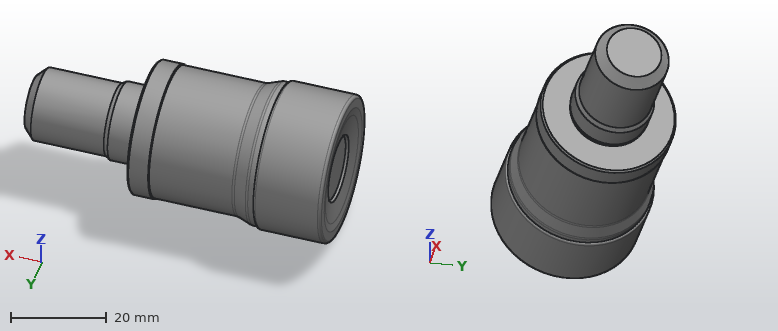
import cadquery as cq

TOTAL_LENGTH = 68.0

CAP_DIAMETER = 31.95
CAP_LENGTH = 14.8
CAP_FRONT_ROUND = 0.7
CAP_REAR_ROUND = 0.5
DISH_RIM_RADIUS = 13.3
DISH_STEP_RADIUS = 11.6
DISH_STEP_DEPTH = 0.3
DISH_FLOOR_RADIUS = 7.3
DISH_FLOOR_DEPTH = 0.95
RECESS_RADIUS = 6.9
RECESS_DEPTH = 1.55

SHOULDER_DIAMETER = 31.0
SHOULDER_END = 16.4
BARREL_DIAMETER = 28.6
BARREL_START = 19.65
SHOULDER_BLEND = 1.6
COLLAR_DIAMETER = 29.0
COLLAR_START = 38.0
COLLAR_END = 42.9
COLLAR_CHAMFER = 0.4
COLLAR_STEP_CHAMFER = (COLLAR_DIAMETER - BARREL_DIAMETER) / 2

NECK_DIAMETER = 16.6
NECK_END = 43.45
PILOT_DIAMETER = 17.0
PILOT_START = 44.05
PILOT_END = 48.95
STUD_DIAMETER = 15.8
STUD_START = 49.95
STUD_NOSE_LENGTH = 2.05
STUD_TIP_RADIUS = 5.85


def revolve_about_x(profile):
    """Turn a closed XY half-profile into a solid round the X axis."""
    return profile.close().revolve(360, (0, 0, 0), (1, 0, 0))


def make_cap():
    """Round cap with a dished front face and a flat central recess."""
    radius = CAP_DIAMETER / 2
    blank = cq.Workplane("YZ").circle(radius).extrude(CAP_LENGTH)
    blank = blank.faces("<X").edges().fillet(CAP_FRONT_ROUND)
    blank = blank.faces(">X").edges().fillet(CAP_REAR_ROUND)
    dish = revolve_about_x(
        cq.Workplane("XY")
        .moveTo(0, 0)
        .lineTo(0, DISH_RIM_RADIUS)
        .lineTo(DISH_STEP_DEPTH, DISH_STEP_RADIUS)
        .lineTo(DISH_FLOOR_DEPTH, DISH_FLOOR_RADIUS)
        .lineTo(RECESS_DEPTH, RECESS_RADIUS)
        .lineTo(RECESS_DEPTH, 0)
    )
    return blank.cut(dish)


def make_barrel():
    """Housing barrel: shoulder, eased taper, cylinder and rear collar."""
    barrel = revolve_about_x(
        cq.Workplane("XY")
        .moveTo(CAP_LENGTH, 0)
        .lineTo(CAP_LENGTH, SHOULDER_DIAMETER / 2)
        .lineTo(SHOULDER_END, SHOULDER_DIAMETER / 2)
        .lineTo(BARREL_START, BARREL_DIAMETER / 2)
        .lineTo(COLLAR_START, BARREL_DIAMETER / 2)
        .lineTo(COLLAR_START + COLLAR_STEP_CHAMFER, COLLAR_DIAMETER / 2)
        .lineTo(COLLAR_END, COLLAR_DIAMETER / 2)
        .lineTo(COLLAR_END, 0)
    )
    barrel = barrel.faces(">X").edges().chamfer(COLLAR_CHAMFER)
    taper_box = cq.selectors.BoxSelector(
        (CAP_LENGTH + SHOULDER_BLEND / 2, -CAP_DIAMETER, -CAP_DIAMETER),
        (BARREL_START + SHOULDER_BLEND / 2, CAP_DIAMETER, CAP_DIAMETER),
    )
    taper_ends = barrel.edges("%CIRCLE").edges(taper_box)
    return taper_ends.fillet(SHOULDER_BLEND)


def make_stem():
    """Stem behind the collar: neck, pilot and stud with a tapered nose."""
    return revolve_about_x(
        cq.Workplane("XY")
        .moveTo(COLLAR_END, 0)
        .lineTo(COLLAR_END, NECK_DIAMETER / 2)
        .lineTo(NECK_END, NECK_DIAMETER / 2)
        .lineTo(PILOT_START, PILOT_DIAMETER / 2)
        .lineTo(PILOT_END, PILOT_DIAMETER / 2)
        .lineTo(STUD_START, STUD_DIAMETER / 2)
        .lineTo(TOTAL_LENGTH - STUD_NOSE_LENGTH, STUD_DIAMETER / 2)
        .lineTo(TOTAL_LENGTH, STUD_TIP_RADIUS)
        .lineTo(TOTAL_LENGTH, 0)
    )


def make_housing():
    """Barrel and stem as one solid."""
    return make_barrel().union(make_stem())


cap = make_cap()
housing = make_housing()
result = cq.Compound.makeCompound([cap.val(), housing.val()])